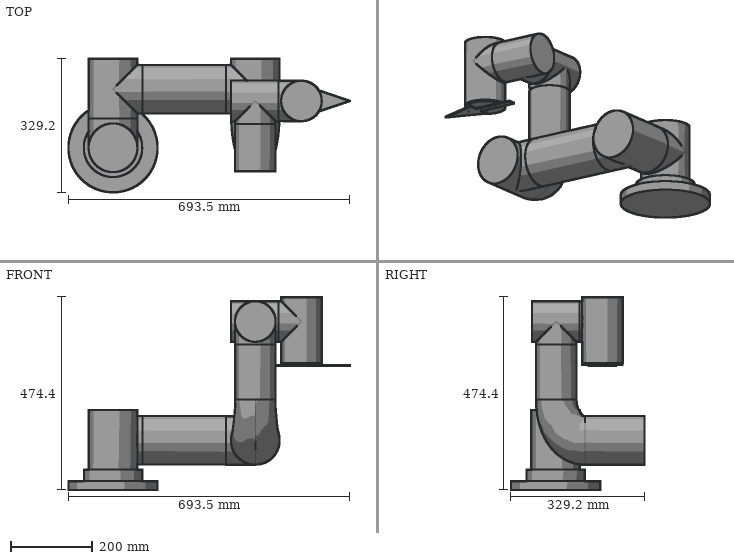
import cadquery as cq
import math

base_radius = 110.0
base_thickness = 22.0
step_radius = 72.0
base_height = 50.0

large_radius = 60.0
large_cap = 75.0
large_port = 72.115

small_radius = 50.0
small_cap = 60.0
small_port = 56.75
tool_port = 102.5

upper_arm_length = 350.0
forearm_y = 1.7
forearm_rise = 100.0
arm_height = 474.4

flange_thickness = 4.5
arrow_thickness = 2.5
arrow_tip_x = 583.5
arrow_length = 200.0
arrow_head_length = 101.0
arrow_head_half_width = 34.0
arrow_shaft_half_width = 10.0

bend_sections = 9

X_AXIS = cq.Vector(1, 0, 0)
Y_AXIS = cq.Vector(0, 1, 0)
Z_AXIS = cq.Vector(0, 0, 1)

base_centre = cq.Vector(0, 0, 0)
shoulder_centre = base_centre + Z_AXIS * (base_height + large_port)
upper_arm_centre = shoulder_centre + Y_AXIS * (2 * large_port)
elbow_centre = upper_arm_centre + X_AXIS * upper_arm_length
forearm_start = cq.Vector(elbow_centre.x, forearm_y, elbow_centre.z + forearm_rise)
wrist_1_centre = cq.Vector(elbow_centre.x, forearm_y, arm_height - small_cap)
wrist_2_centre = wrist_1_centre + Y_AXIS * (2 * small_port)
wrist_3_centre = wrist_2_centre + X_AXIS * (2 * small_port)


def round_bar(start, direction, length, radius):
    """A cylinder that starts at a point and runs along a direction."""
    return cq.Workplane(cq.Solid.makeCylinder(radius, length, start, direction))


def joint(centre, port, stub, radius, cap, port_length, stub_length):
    """A cylinder along the port direction, with a stub of the same radius at right angles to it."""
    across = port.cross(stub)
    main_plane = cq.Plane(centre - port * cap, across, port)
    stub_plane = cq.Plane(centre, across, stub)
    main = cq.Workplane(main_plane).circle(radius).extrude(cap + port_length)
    branch = cq.Workplane(stub_plane).circle(radius).extrude(stub_length)
    return main.union(branch)


def large_joint(centre, port, stub):
    return joint(centre, port, stub, large_radius, large_cap, large_port, large_port)


def small_joint(centre, port, stub, port_length=small_port):
    return joint(centre, port, stub, small_radius, small_cap, port_length, small_port)


def make_base():
    disc = round_bar(base_centre, Z_AXIS, base_thickness, base_radius)
    return disc.union(round_bar(base_centre, Z_AXIS, base_height, step_radius))


def bend_section(fraction):
    """A circle square to the quarter ellipse that leads from the elbow port up to the forearm."""
    bend_start_y = elbow_centre.y - large_port
    run = bend_start_y - forearm_start.y
    angle = fraction * math.pi / 2
    centre = cq.Vector(
        elbow_centre.x,
        bend_start_y - run * math.sin(angle),
        elbow_centre.z + forearm_rise * (1 - math.cos(angle)),
    )
    tangent = cq.Vector(0, -run * math.cos(angle), forearm_rise * math.sin(angle))
    taper = fraction**2 * (3 - 2 * fraction)
    radius = large_radius + (small_radius - large_radius) * taper
    return cq.Wire.assembleEdges([cq.Edge.makeCircle(radius, centre, tangent)])


def make_elbow():
    """A large joint whose port bends upward and narrows to the forearm."""
    sections = [bend_section(i / (bend_sections - 1)) for i in range(bend_sections)]
    bend = cq.Workplane(cq.Solid.makeLoft(sections))
    return large_joint(elbow_centre, -Y_AXIS, -X_AXIS).union(bend)


def make_upper_arm_tube():
    start = upper_arm_centre + X_AXIS * large_port
    return round_bar(start, X_AXIS, upper_arm_length - 2 * large_port, large_radius)


def make_forearm_tube():
    length = wrist_1_centre.z - small_port - forearm_start.z
    return round_bar(forearm_start, Z_AXIS, length, small_radius)


def make_tool():
    """The flange disc with a flat arrow under it that points along +X."""
    flange_top = wrist_3_centre - Z_AXIS * tool_port
    flange = round_bar(flange_top, -Z_AXIS, flange_thickness, small_radius)
    head_x = arrow_tip_x - arrow_head_length
    tail_x = arrow_tip_x - arrow_length
    arrow = (
        cq.Workplane("XY", origin=(0, flange_top.y, flange_top.z - flange_thickness))
        .moveTo(arrow_tip_x, 0)
        .lineTo(head_x, arrow_head_half_width)
        .lineTo(head_x, arrow_shaft_half_width)
        .lineTo(tail_x, arrow_shaft_half_width)
        .lineTo(tail_x, -arrow_shaft_half_width)
        .lineTo(head_x, -arrow_shaft_half_width)
        .lineTo(head_x, -arrow_head_half_width)
        .close()
        .extrude(-arrow_thickness)
    )
    return flange.union(arrow)


large_joint_places = [
    (shoulder_centre, -Z_AXIS, Y_AXIS),
    (upper_arm_centre, -Y_AXIS, X_AXIS),
]
wrist_joint_places = [
    (wrist_1_centre, Y_AXIS, -Z_AXIS),
    (wrist_2_centre, X_AXIS, -Y_AXIS),
]

base = make_base()
large_joints = [large_joint(*place) for place in large_joint_places]
upper_arm_tube = make_upper_arm_tube()
elbow = make_elbow()
forearm_tube = make_forearm_tube()
wrist_joints = [small_joint(*place) for place in wrist_joint_places]
tool_joint = small_joint(wrist_3_centre, -Z_AXIS, -X_AXIS, tool_port)
tool = make_tool()

bodies = [base, *large_joints, upper_arm_tube, elbow, forearm_tube, *wrist_joints, tool_joint, tool]
result = cq.Compound.makeCompound([body.solids().val() for body in bodies])